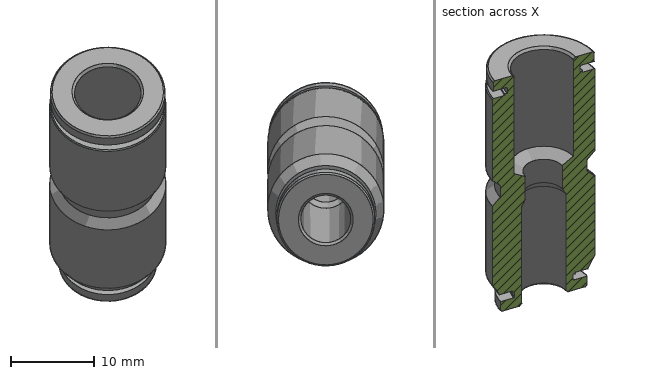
import cadquery as cq


length = 34.0
flange_height = 1.53
flange_chamfer = 0.2

body_diameter = 14.0
body_bottom = 2.5
body_cone_top = 4.2
body_top = 31.45
body_top_chamfer = 0.15
body_cone_diameter = 12.07

groove_diameter = 11.9
groove_bottom = 15.78
groove_top = 19.48
groove_slope_height = 1.02

upper_flange_diameter = 13.8
upper_neck_diameter = 10.0
upper_collar_diameter = 10.6
lower_flange_diameter = 11.8
lower_neck_diameter = 8.0
lower_collar_diameter = 8.6
collar_height = 0.2
neck_flare = 0.1

passage_diameter = 5.0
upper_socket_diameter = 8.0
lower_socket_diameter = 6.0
socket_depth = 15.3
seat_height = 0.9
entry_chamfer = 0.3


def revolve_profile(points):
    """Solid of revolution about Z from (radius, height) points."""
    return cq.Workplane("XZ").polyline(points).close().revolve(360, (0, 0), (0, 1))


def make_body():
    radius = body_diameter / 2
    groove_radius = groove_diameter / 2
    return revolve_profile([
        (0, body_bottom),
        (body_cone_diameter / 2, body_bottom),
        (radius, body_cone_top),
        (radius, groove_bottom),
        (groove_radius, groove_bottom + groove_slope_height),
        (groove_radius, groove_top - groove_slope_height),
        (radius, groove_top),
        (radius, body_top - body_top_chamfer),
        (radius - body_top_chamfer, body_top),
        (0, body_top),
    ])


def make_sleeve(flange_diameter, neck_diameter, collar_diameter, body_end):
    """Sleeve with its outer face at Z = 0 and its collar against the body end at Z = body_end."""
    flange_radius = flange_diameter / 2
    neck_radius = neck_diameter / 2
    collar_radius = collar_diameter / 2
    return revolve_profile([
        (0, 0),
        (flange_radius - flange_chamfer, 0),
        (flange_radius, flange_chamfer),
        (flange_radius, flange_height),
        (neck_radius + neck_flare, flange_height),
        (neck_radius, flange_height + neck_flare),
        (neck_radius, body_end - collar_height),
        (collar_radius, body_end - collar_height),
        (collar_radius, body_end),
        (0, body_end),
    ])


def make_socket(diameter):
    """Cutter for a socket entered at Z = 0, with a chamfered mouth and a conical seat."""
    radius = diameter / 2
    return revolve_profile([
        (0, 0),
        (radius + entry_chamfer, 0),
        (radius, entry_chamfer),
        (radius, socket_depth - seat_height),
        (passage_diameter / 2, socket_depth),
        (0, socket_depth),
    ])


def turn_to_top(shape):
    """Mirror a shape built up from Z = 0 so that it runs down from the top face."""
    return shape.mirror("XY").translate((0, 0, length))


lower_sleeve = make_sleeve(
    lower_flange_diameter, lower_neck_diameter, lower_collar_diameter, body_bottom
)
upper_sleeve = turn_to_top(make_sleeve(
    upper_flange_diameter, upper_neck_diameter, upper_collar_diameter, length - body_top
))
lower_socket = make_socket(lower_socket_diameter)
upper_socket = turn_to_top(make_socket(upper_socket_diameter))
passage = cq.Workplane("XY").circle(passage_diameter / 2).extrude(length)

outside = make_body().union(upper_sleeve).union(lower_sleeve)
result = outside.cut(passage).cut(upper_socket).cut(lower_socket)